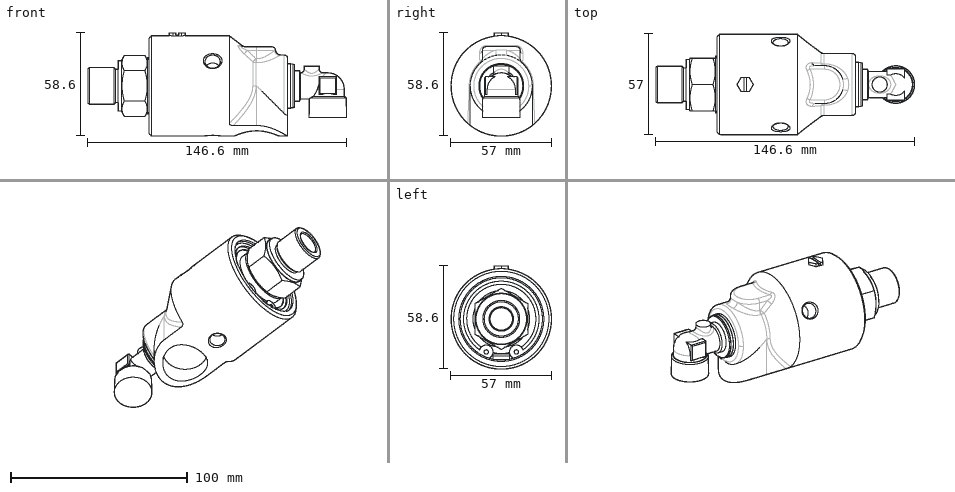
import cadquery as cq
import math


thread_radius = 20.95 / 2
thread_length = 15.6
thread_chamfer = 0.8
undercut_radius = 9.5
bore_mouth_radius = 13.89 / 2
bore_radius = 12.7 / 2
bore_depth = 34.0
collar_start = 17.1
collar_radius = 28.6 / 2
hex_start = 19.1
hex_end = 33.9
hex_flats = 30.0
hex_corner_radius = hex_flats / math.sqrt(3)
hex_chamfer_angle = math.radians(30)
hex_face_radius = 14.6
hub_radius = 32.1 / 2

drum_radius = 28.5
drum_start = 34.6
drum_end = 80.1
drum_chamfer = 1.5
neck_radius = 17.6
port_x = 95.6
neck_end = port_x + neck_radius
neck_edge_radius = 2.0
cone_slope = 0.77
cone_end = drum_end + (drum_radius - neck_radius) / cone_slope

recess_radius = 23.3
recess_chamfer = 0.8
ring_face = drum_start + 2.0
plate_face = drum_start + 3.0
ring_inner_radius = 21.4
plate_step_radius = 19.6
plate_step_depth = 0.6
ring_thickness = 1.0
lug_radius = 3.9
lug_y = 8.55
lug_z = -18.7
lug_hole_radius = 2.48 / 2
tab_width = 9.4
tab_bottom = -22.9
tab_top = -19.9
tab_ledge = 1.1

drain_x = 70.7
drain_radius = 8.6 / 2
drain_chamfer = 0.5
drain_depth = 10.0
drain_angles = (30, 150, 270)

plug_x = 50.6
plug_flats = 8.0
plug_top = 30.09
plug_slot_width = 1.6
plug_slot_depth = 1.2
plug_root = 26.0

boss_radius = 21.4 / 2
boss_top = 22.2
boss_edge_radius = 2.0
housing_blend = 3.0
port_radius = 25.4 / 2
port_floor = -16.0

flange_steps = ((25.4 / 2, 114.7), (25.0 / 2, 116.2), (24.4 / 2, 117.1), (17.48 / 2, 119.8))
flange_shoulder = 0.7

pipe_radius = 15.0 / 2
outlet_radius = 21.4 / 2
outlet_upper_radius = 21.0 / 2
overall_length = 146.63
elbow_x = overall_length - outlet_radius
outlet_bottom = -17.95
outlet_top = -6.05
outlet_chamfer = 0.8
bend_radius = 9.4
bend_z = pipe_radius - bend_radius
pad_size = 10.0
pad_z = 0.2
pad_half_width = 9.4
pad_chamfer = 0.6
stub_x = 126.8
stub_radius = 8.57 / 2
stub_top = 11.2
stub_blend = 2.0


def disc(radius, x_start, x_end):
    """Cylinder along X between two stations."""
    return cq.Workplane("YZ", origin=(x_start, 0, 0)).circle(radius).extrude(x_end - x_start)


def upright(radius, x, z_bottom, z_top):
    """Vertical cylinder on the middle plane."""
    return cq.Workplane("XY", origin=(x, 0, z_bottom)).circle(radius).extrude(z_top - z_bottom)


def turned(points):
    """Solid of revolution about X from (x, radius) points."""
    return cq.Workplane("XY").polyline(points).close().revolve(360, (0, 0, 0), (1, 0, 0))


def hexagon():
    """Hexagon with corners up and down, both ends chamfered by a cone."""
    prism = (
        cq.Workplane("YZ", origin=(hex_start, 0, 0))
        .transformed(rotate=(0, 0, 90))
        .polygon(6, 2 * hex_corner_radius)
        .extrude(hex_end - hex_start)
    )
    chamfer_length = (hex_corner_radius - hex_face_radius) * math.tan(hex_chamfer_angle)
    envelope = disc(hex_corner_radius, hex_start, hex_end).faces("<X or >X").chamfer(
        chamfer_length, hex_corner_radius - hex_face_radius
    )
    return prism.intersect(envelope)


def rotor():
    """Threaded spigot, collar, hexagon and hub with a blind bore."""
    spigot = disc(thread_radius, 0, thread_length).faces("<X or >X").chamfer(thread_chamfer)
    root = disc(undercut_radius, thread_length - thread_chamfer, collar_start)
    collar = disc(collar_radius, collar_start, hex_start)
    hub = disc(hub_radius, hex_end, plate_face + ring_thickness)
    body = spigot.union(root).union(collar).union(hexagon()).union(hub)
    mouth = turned([(0, 0), (0, bore_mouth_radius), (bore_mouth_radius, 0)])
    return body.cut(disc(bore_radius, 0, bore_depth)).cut(mouth)


def housing_shell():
    """Turned drum, cone and neck."""
    shell = turned([
        (drum_start, 0),
        (drum_start, drum_radius),
        (drum_end, drum_radius),
        (cone_end, neck_radius),
        (neck_end, neck_radius),
        (neck_end, 0),
    ])
    return shell.faces("<X").chamfer(drum_chamfer)


def foot():
    """Round-ended foot under the neck, trimmed to the drum diameter."""
    block = upright(neck_radius, port_x, -drum_radius, 0).union(
        cq.Workplane("XY")
        .box(port_x - drum_end, 2 * neck_radius, drum_radius, centered=(False, True, False))
        .translate((drum_end, 0, -drum_radius))
    )
    return block.intersect(disc(drum_radius, drum_end, neck_end))


def boss():
    """Flat-topped boss whose straight sides run back into the cone."""
    back_x = drum_end + 2
    outline = (
        cq.Workplane("XY")
        .moveTo(back_x, -boss_radius)
        .lineTo(port_x, -boss_radius)
        .threePointArc((port_x + boss_radius, 0), (port_x, boss_radius))
        .lineTo(back_x, boss_radius)
        .close()
        .extrude(boss_top)
    )
    return outline.edges(">Z").edges("not <X").fillet(boss_edge_radius)


def neck_edge_waste():
    """Ring outside the rounded end of the neck, clear of the foot."""
    blank = disc(neck_radius + neck_edge_radius, neck_end - neck_edge_radius, neck_end)
    rounded = disc(neck_radius, neck_end - 2 * neck_edge_radius, neck_end)
    rounded = rounded.faces(">X").edges().fillet(neck_edge_radius)
    return blank.cut(rounded).cut(foot())


def housing():
    """Drum, cone, neck, foot and boss, with the inside corners between them rounded."""
    joined = housing_shell().union(foot()).union(boss())
    boss_rim = (cone_end, boss_radius, math.sqrt(neck_radius**2 - boss_radius**2))
    corner_points = [
        (cone_end - (boss_top - neck_radius) / cone_slope, 0, boss_top),
        (port_x + boss_radius, 0, neck_radius),
        boss_rim,
        (boss_rim[0], -boss_rim[1], boss_rim[2]),
    ]
    corners = joined.newObject([])
    for point in corner_points:
        corners = corners.add(joined.edges(cq.NearestToPointSelector(point)))
    for side in (-1, 1):
        ring_point = (cone_end, side * neck_radius * math.cos(0.4), neck_radius * math.sin(0.4))
        corners = corners.add(joined.edges(cq.NearestToPointSelector(ring_point)))
    return corners.fillet(housing_blend).cut(neck_edge_waste())


def recess():
    """Stepped cavity in the open end of the drum."""
    cavity = disc(recess_radius, drum_start, plate_face)
    lead_in = disc(recess_radius + recess_chamfer, drum_start, ring_face).faces(">X").chamfer(recess_chamfer)
    step = disc(plate_step_radius, plate_face, plate_face + plate_step_depth)
    return cavity.union(lead_in).union(step)


def retaining_ring():
    """Snap ring open at the bottom, with a drilled lug at each end."""
    ring_back = plate_face + plate_step_depth
    ring = disc(recess_radius, ring_face, ring_back).cut(disc(ring_inner_radius, ring_face, ring_back))
    gap = cq.Workplane("XY").box(drum_radius, 2 * lug_y, drum_radius)
    ring = ring.cut(gap.translate((ring_face, 0, lug_z - drum_radius / 2 + lug_radius)))
    lugs = disc(lug_radius, ring_face, ring_back)
    lug_holes = disc(lug_hole_radius, ring_face, plate_face)
    inside = disc(recess_radius, ring_face, ring_back)
    for side in (-1, 1):
        offset = (0, side * lug_y, lug_z)
        ring = ring.union(lugs.translate(offset).intersect(inside)).cut(lug_holes.translate(offset))
    return ring


def locking_tab():
    """Stepped tab in the gap of the retaining ring."""
    height = tab_top - tab_bottom
    depth = plate_face + plate_step_depth - ring_face
    tab = cq.Workplane("XY").box(depth, tab_width, height - tab_ledge, centered=(False, True, False))
    ledge = cq.Workplane("XY").box(depth / 2, tab_width, height, centered=(False, True, False))
    tab = tab.union(ledge.translate((depth / 2, 0, 0)))
    return tab.translate((ring_face, 0, tab_bottom))


def drain_hole(angle):
    """Chamfered blind hole into the drum, square to its surface."""
    drill = upright(drain_radius, drain_x, drum_radius - drain_depth, drum_radius + drain_chamfer)
    mouth = (
        cq.Workplane("XY", origin=(drain_x, 0, drum_radius - 2 * drain_chamfer))
        .circle(drain_radius)
        .workplane(offset=2 * drain_chamfer)
        .circle(drain_radius + 2 * drain_chamfer)
        .loft()
    )
    return drill.union(mouth).rotate((0, 0, 0), (1, 0, 0), angle - 90)


def plug():
    """Hexagonal plug with a screwdriver slot."""
    body = (
        cq.Workplane("XY", origin=(plug_x, 0, plug_root))
        .polygon(6, 2 * plug_flats / math.sqrt(3))
        .extrude(plug_top - plug_root)
    )
    slot = cq.Workplane("XY").box(plug_slot_width, 2 * plug_flats, 2 * plug_slot_depth)
    return body.cut(slot.translate((plug_x, 0, plug_top)))


def end_flange():
    """Steps that shrink from the neck down to the elbow pipe."""
    flange = None
    start = neck_end
    for radius, end in flange_steps:
        step = disc(radius, start, end)
        flange = step if flange is None else flange.union(step)
        start = end
    last_radius = flange_steps[-1][0]
    shoulder = turned([
        (start, 0),
        (start, last_radius),
        (start + flange_shoulder, pipe_radius),
        (start + flange_shoulder, 0),
    ])
    return flange.union(shoulder)


def elbow():
    """Pipe that turns downwards, with a top stub and two side pads."""
    pipe = disc(pipe_radius, flange_steps[-1][1], elbow_x)
    stub = upright(stub_radius, stub_x, 0, stub_top)
    fitting = pipe.union(stub)
    stub_root = (stub_x, 0, pipe_radius)
    fitting = fitting.edges(cq.NearestToPointSelector(stub_root)).fillet(stub_blend)
    bend = cq.Workplane("XY").sphere(bend_radius).translate((elbow_x, 0, bend_z))
    drop = upright(bend_radius, elbow_x, outlet_bottom, bend_z)
    outlet = (
        cq.Workplane("XZ")
        .polyline([
            (0, outlet_bottom),
            (outlet_radius, outlet_bottom),
            (outlet_upper_radius, outlet_top - outlet_chamfer),
            (outlet_upper_radius - outlet_chamfer, outlet_top),
            (0, outlet_top),
        ])
        .close()
        .revolve(360, (0, 0, 0), (0, 1, 0))
        .translate((elbow_x, 0, 0))
    )
    pads = cq.Workplane("XY").box(pad_size, 2 * pad_half_width, pad_size).faces("<Y or >Y").chamfer(pad_chamfer)
    for piece in (bend, drop, outlet, pads.translate((elbow_x, 0, pad_z))):
        fitting = fitting.union(piece)
    return fitting


result = housing().cut(recess())
for feature in (retaining_ring(), locking_tab(), rotor(), plug(), end_flange(), elbow()):
    result = result.union(feature)
for drain in drain_angles:
    result = result.cut(drain_hole(drain))
result = result.cut(upright(port_radius, port_x, -drum_radius, port_floor))